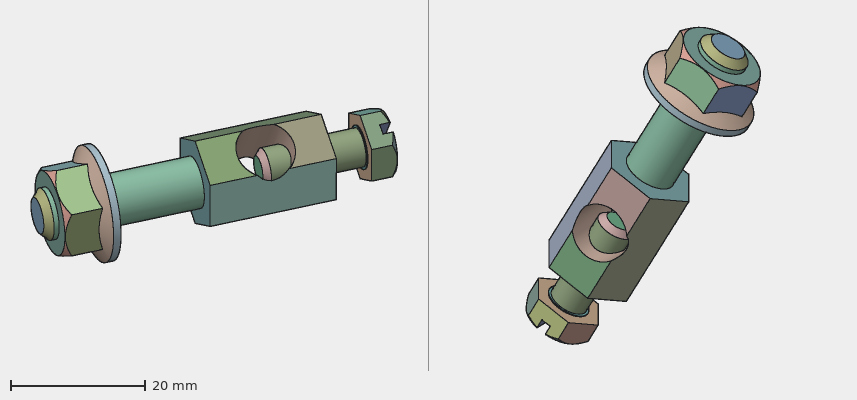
import cadquery as cq
import math


block_across_flats = 13.0
block_length = 20.0
stud_diameter = 8.0
stud_length = 25.0
stud_tip_chamfer = 1.2
clamp_hole_diameter = 9.0
clamp_hole_angle = 60.0

bolt_diameter = 6.0
bolt_length = 16.0
bolt_tip_chamfer = 1.0
head_across_flats = 10.0
head_height = 4.15
head_top_radius = 4.9
washer_face_diameter = 6.8
washer_face_height = 0.15
slot_width = 1.6
slot_depth = 1.7

nut_across_flats = 13.0
nut_height = 8.0
nut_end_radius = 6.45
flange_diameter = 17.9
flange_rim_height = 1.2
flange_slope = 30.0
nut_standoff = 15.0

block_back = block_length / 2
block_front = -block_length / 2
stud_tip = block_front - stud_length
nut_back = block_front - nut_standoff
nut_front = nut_back - nut_height
head_seat = bolt_length + washer_face_height
head_top = head_seat + head_height


def corner_radius(across_flats):
    """Radius of the circle through the corners of a regular hexagon."""
    return across_flats / math.sqrt(3)


def turned(profile):
    """Solid of revolution about Y from (radius, y) points."""
    return cq.Workplane("XY").polyline(profile).close().revolve(360, (0, 0, 0), (0, 1, 0))


def cylinder(diameter, y_start, y_end):
    radius = diameter / 2
    return turned([(0, y_start), (radius, y_start), (radius, y_end), (0, y_end)])


def hexagon_bar(across_flats, y_start, y_end):
    """Hexagonal bar along Y with corners pointing to +Z and -Z."""
    radius = corner_radius(across_flats)
    corners = []
    for index in range(6):
        angle = math.radians(30 + 60 * index)
        corners.append((radius * math.cos(angle), radius * math.sin(angle)))
    plane = cq.Plane(origin=(0, y_start, 0), xDir=(1, 0, 0), normal=(0, -1, 0))
    return cq.Workplane(plane).polyline(corners).close().extrude(y_start - y_end)


def chamfered_hexagon(across_flats, y_base, y_end, end_radius):
    """Hexagonal bar whose corners are turned off at 45 degrees at y_end."""
    radius = corner_radius(across_flats)
    chamfer = math.copysign(radius - end_radius, y_end - y_base)
    envelope = turned([
        (0, y_base),
        (radius, y_base),
        (radius, y_end - chamfer),
        (end_radius, y_end),
        (0, y_end),
    ])
    return hexagon_bar(across_flats, y_base, y_end).intersect(envelope)


def shank(diameter, y_base, y_tip, tip_chamfer):
    """Round shank with a 45 degree chamfer at y_tip; y_tip lies on the -Y side of y_base."""
    radius = diameter / 2
    return turned([
        (0, y_base),
        (radius, y_base),
        (radius, y_tip + tip_chamfer),
        (radius - tip_chamfer, y_tip),
        (0, y_tip),
    ])


def turn_to_clamp_hole(shape):
    """Turn a shape lying along X about Y so that it lies along the clamp hole."""
    return shape.rotate((0, 0, 0), (0, 1, 0), -clamp_hole_angle)


def make_eye_stud():
    block = hexagon_bar(block_across_flats, block_back, block_front)
    stud = shank(stud_diameter, block_front, stud_tip, stud_tip_chamfer)
    hole_reach = block_across_flats
    clamp_hole = cq.Workplane("YZ", origin=(-hole_reach, 0, 0))
    clamp_hole = clamp_hole.circle(clamp_hole_diameter / 2).extrude(2 * hole_reach)
    bolt_bore = cylinder(bolt_diameter, 0, block_back)
    return block.union(stud).cut(turn_to_clamp_hole(clamp_hole)).cut(bolt_bore)


def make_clamp_bolt():
    head = chamfered_hexagon(head_across_flats, head_seat, head_top, head_top_radius)
    slot = cq.Workplane("XY").box(2 * head_across_flats, 2 * slot_depth, slot_width)
    slot = turn_to_clamp_hole(slot).translate((0, head_top, 0))
    washer_face = cylinder(washer_face_diameter, bolt_length, head_seat)
    bolt_shank = shank(bolt_diameter, bolt_length, 0, bolt_tip_chamfer)
    return head.cut(slot).union(washer_face).union(bolt_shank)


def make_flange_nut():
    hexagon = chamfered_hexagon(nut_across_flats, nut_back, nut_front, nut_end_radius)
    rim_radius = flange_diameter / 2
    rim_front = nut_back - flange_rim_height
    cone_end_radius = stud_diameter / 2
    cone_end = rim_front - (rim_radius - cone_end_radius) * math.tan(math.radians(flange_slope))
    flange = turned([
        (0, nut_back),
        (rim_radius, nut_back),
        (rim_radius, rim_front),
        (cone_end_radius, cone_end),
        (0, cone_end),
    ])
    bore = cylinder(stud_diameter, nut_back, nut_front)
    return hexagon.union(flange).cut(bore)


eye_stud = make_eye_stud()
clamp_bolt = make_clamp_bolt()
flange_nut = make_flange_nut()

result = cq.Compound.makeCompound([eye_stud.val(), clamp_bolt.val(), flange_nut.val()])